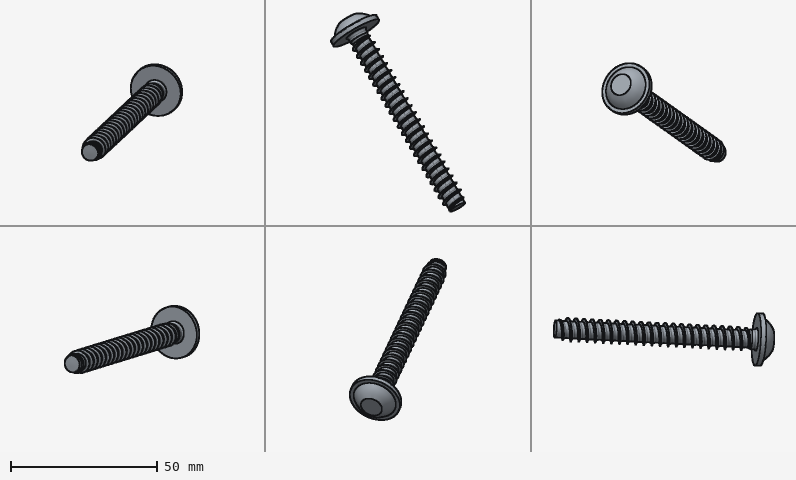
import cadquery as cq
import math

total_length = 75.6
head_height = 5.6
shank_length = total_length - head_height
flange_radius = 18.0 / 2

flange_thickness = 1.8
dome_base_radius = 7.55
dome_top_radius = 3.8
dome_bulge = 0.45

core_radius = 2.95
neck_radius = 3.4
seat_radius = 3.9
neck_start = 1.0
neck_end = 2.0
neck_cone_end = 3.0
seat_bulge = 0.15
tip_rise = 0.15

crest_radius = 4.0
crest_width = 0.15
root_radius = 3.2
root_width = 0.7
foot_radius = 2.8
foot_head_side = 1.7
foot_tip_side = 0.5

thread_start = 4.45
thread_end = 65.8
thread_turns = 21.75
thread_start_angle = 180.0
thread_pieces = 8
pitch = (thread_end - thread_start) / thread_turns
fade_in_turns = 0.75
fade_in_crest_radius = 3.4
fade_out_turns = 1.25
fade_out_crest_radius = core_radius + 0.15
faded_root_radius = core_radius + 0.1


def make_body():
    """Head and plain shank turned about Z: the head seat is at Z = 0 and the tip points to +Z."""
    return (
        cq.Workplane("YZ")
        .moveTo(0, -head_height)
        .lineTo(dome_top_radius, -head_height)
        .sagittaArc((dome_base_radius, -flange_thickness), -dome_bulge)
        .lineTo(flange_radius, -flange_thickness)
        .lineTo(flange_radius, 0)
        .lineTo(seat_radius, 0)
        .sagittaArc((neck_radius, neck_start), seat_bulge)
        .lineTo(neck_radius, neck_end)
        .lineTo(core_radius, neck_cone_end)
        .lineTo(core_radius, shank_length - tip_rise)
        .lineTo(0, shank_length)
        .close()
        .revolve(360, (0, 0), (0, 1))
        .val()
    )


def thread_section(crest, root):
    """Corners (radius, height) of a thread section with the given crest and root radius."""
    return [
        (foot_radius, -foot_head_side),
        (root, -root_width / 2),
        (crest, -crest_width / 2),
        (crest, crest_width / 2),
        (root, root_width / 2),
        (foot_radius, foot_tip_side),
    ]


def corner_helix(start, end, turns):
    """Helix that carries one section corner from its start to its end (radius, height)."""
    start_radius, start_height = start
    end_radius, end_height = end
    rise = turns * pitch + end_height - start_height
    cone_angle = math.atan2(end_radius - start_radius, rise)
    slant = rise / math.cos(cone_angle)
    helix_angle = math.degrees(cone_angle) if cone_angle else 360
    helix = cq.Wire.makeHelix(slant / turns, slant, start_radius, angle=helix_angle)
    return helix.translate(cq.Vector(0, 0, start_height)).Edges()[0]


def thread_stretch(start_section, end_section, start_depth, start_angle, turns):
    """Solid stretch of thread that changes evenly from one section to another."""
    edges = [corner_helix(start, end, turns) for start, end in zip(start_section, end_section)]
    faces = [cq.Face.makeRuledSurface(edge, edges[i - 1]) for i, edge in enumerate(edges)]
    for end_position in (0, 1):
        corners = [edge.positionAt(end_position) for edge in edges]
        faces.append(cq.Face.makeFromWires(cq.Wire.makePolygon(corners, close=True)))
    stretch = cq.Solid.makeSolid(cq.Shell.makeShell(faces)).fix()
    placed = stretch.rotate(cq.Vector(0, 0, 0), cq.Vector(0, 0, 1), start_angle)
    return placed.translate(cq.Vector(0, 0, start_depth))


def make_thread():
    """The full-depth thread in equal pieces, with a fading stretch before and after it."""
    full = thread_section(crest_radius, root_radius)
    fade_in = thread_section(fade_in_crest_radius, faded_root_radius)
    fade_out = thread_section(fade_out_crest_radius, faded_root_radius)
    piece_turns = thread_turns / thread_pieces

    runs = [(fade_in, full, -fade_in_turns, fade_in_turns)]
    for piece in range(thread_pieces):
        runs.append((full, full, piece * piece_turns, piece_turns))
    runs.append((full, fade_out, thread_turns, fade_out_turns))

    stretches = []
    for start_section, end_section, turns_before, turns in runs:
        depth = thread_start + turns_before * pitch
        angle = thread_start_angle + 360 * turns_before
        stretches.append(thread_stretch(start_section, end_section, depth, angle, turns))
    return stretches


screw = make_body().fuse(*make_thread())

result = cq.Workplane(screw.Solids()[0]).rotate((0, 0, 0), (1, 0, 0), 90)